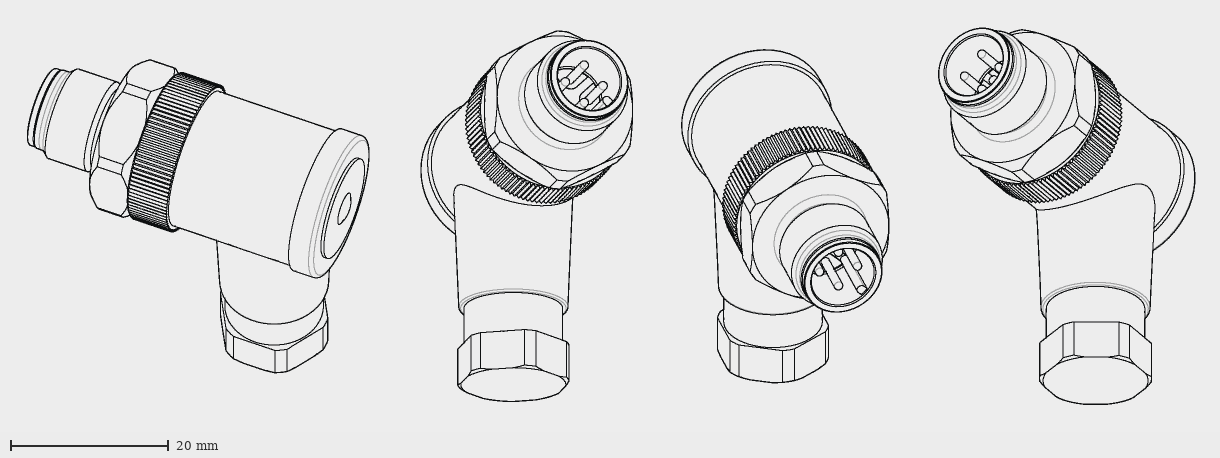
import cadquery as cq
import math


nut_start = 10.2
nut_end = 15.6
knurl_end = 21.05
cap_start = 37.75
cap_end = 41.0
disc_end = 41.4
part_end = 42.0

rim_radius = 10.3 / 2
rim_edge = 0.1
rim_end = 0.85
groove_radius = 9.4 / 2
groove_end = 1.05
land_radius = 10.5 / 2
land_end = 1.7
flare_radius = 5.55
flare_end = 2.35
thread_radius = 12.0 / 2
thread_start = 2.85
thread_end = 8.2
neck_radius = 10.7 / 2
neck_start = 8.8
neck_fillet = 0.8

bore_radius = 8.3 / 2
bore_mouth_radius = 4.3
bore_mouth_depth = 0.2
bore_floor = 8.0
floor_chamfer = 0.2
bore_floor_radius = bore_radius - floor_chamfer
pin_radius = 1.1 / 2
pin_circle_radius = 2.5
pin_count = 4
pin_tip = 1.6
pin_embedding = 1.0
pin_root = bore_floor + pin_embedding
key_radius = 1.1 / 2
key_offset = 2.5
key_tip = 0.5
sector_depth = 0.2
sector_corner_radius = 1.25

nut_flats = 18.0
nut_corner_radius = 20.0 / 2
nut_face_radius = nut_flats / 2
nut_chamfer = 1.05

knurl_teeth = 100
knurl_tip_radius = 19.6 / 2
knurl_root_radius = 19.0 / 2
knurl_chamfer = 0.3

housing_radius = 18.0 / 2
cap_radius = 19.0 / 2
cap_fillet = 0.5
disc_radius = 13.3 / 2
dome_radius = 2.1

outlet_x = 31.78
outlet_end = -20.4
outlet_top_z = -9.0
outlet_top_radius = 7.4
outlet_end_radius = 6.92
outlet_fillet = 0.25
sleeve_radius = 12.5 / 2
gland_top = -25.6
gland_bottom = -30.6
gland_flats = 13.0
gland_corner_radius = 14.2 / 2
gland_face_radius = 6.65
gland_chamfer = 0.25


def x_cylinder(radius, start, end):
    return cq.Workplane("YZ", origin=(start, 0, 0)).circle(radius).extrude(end - start)


def z_cylinder(radius, bottom, top):
    return cq.Workplane("XY", origin=(outlet_x, 0, bottom)).circle(radius).extrude(top - bottom)


def around_x_axis(outline):
    """Turn a closed (x, radius) outline around the plug axis."""
    return outline.close().revolve(360, (0, 0, 0), (1, 0, 0))


def hexagon_points(flats):
    """Corners of a hexagon with flats facing the first axis and corners on the second."""
    corner = flats / math.sqrt(3)
    angles = [math.radians(30 + 60 * i) for i in range(6)]
    return [(corner * math.cos(a), corner * math.sin(a)) for a in angles]


def plug():
    outline = (
        cq.Workplane("XY")
        .moveTo(0, 0)
        .lineTo(0, rim_radius - rim_edge)
        .lineTo(rim_edge, rim_radius)
        .lineTo(rim_end, rim_radius)
        .lineTo(rim_end, groove_radius)
        .lineTo(groove_end, groove_radius)
        .lineTo(groove_end, land_radius)
        .lineTo(land_end, land_radius)
        .tangentArcPoint((flare_end, flare_radius), relative=False)
        .lineTo(thread_start, thread_radius)
        .lineTo(thread_end, thread_radius)
        .lineTo(neck_start, neck_radius)
        .lineTo(nut_start - neck_fillet, neck_radius)
        .tangentArcPoint((nut_start, neck_radius + neck_fillet), relative=False)
        .lineTo(nut_start, 0)
    )
    return around_x_axis(outline)


def socket():
    outline = (
        cq.Workplane("XY")
        .moveTo(0, 0)
        .lineTo(0, bore_mouth_radius)
        .lineTo(bore_mouth_depth, bore_radius)
        .lineTo(bore_floor - floor_chamfer, bore_radius)
        .lineTo(bore_floor, bore_floor_radius)
        .lineTo(bore_floor, 0)
    )
    return around_x_axis(outline)


def floor_sector():
    """Quarter recess around the upper pin, with its rounded corner centred on that pin."""
    tangent = sector_corner_radius / math.sqrt(2)
    edge = bore_floor_radius
    base = pin_circle_radius - tangent
    wedge = (
        cq.Workplane("YZ", origin=(bore_floor, 0, 0))
        .moveTo(-edge, base + edge - tangent)
        .lineTo(-tangent, base)
        .threePointArc((0, pin_circle_radius - sector_corner_radius), (tangent, base))
        .lineTo(edge, base + edge - tangent)
        .close()
        .extrude(sector_depth)
    )
    return wedge.intersect(x_cylinder(bore_floor_radius, bore_floor, bore_floor + sector_depth))


def pin():
    outline = (
        cq.Workplane("XY")
        .moveTo(pin_tip, 0)
        .radiusArc((pin_tip + pin_radius, pin_radius), pin_radius)
        .lineTo(pin_root, pin_radius)
        .lineTo(pin_root, 0)
    )
    return around_x_axis(outline).translate((0, 0, pin_circle_radius))


def key():
    """Half-round coding rib along the socket wall, at the lower -Y side."""
    distance = key_offset * math.sqrt(2)
    reach = bore_radius + key_radius
    rib = (
        cq.Workplane("YZ", origin=(key_tip, 0, 0))
        .moveTo(-key_radius, -reach)
        .lineTo(-key_radius, -distance)
        .threePointArc((0, key_radius - distance), (key_radius, -distance))
        .lineTo(key_radius, -reach)
        .close()
        .extrude(pin_root - key_tip)
        .rotate((0, 0, 0), (1, 0, 0), -45)
    )
    return rib.intersect(x_cylinder(groove_radius, key_tip, pin_root))


def coupling_nut():
    length = nut_end - nut_start
    hexagon = (
        cq.Workplane("YZ", origin=(nut_start, 0, 0))
        .polyline(hexagon_points(nut_flats))
        .close()
        .extrude(length)
    )
    turned = around_x_axis(
        cq.Workplane("XY")
        .moveTo(nut_start, 0)
        .lineTo(nut_start, nut_face_radius)
        .lineTo(nut_start + nut_chamfer, nut_corner_radius)
        .lineTo(nut_end - nut_chamfer, nut_corner_radius)
        .lineTo(nut_end, nut_face_radius)
        .lineTo(nut_end, 0)
    )
    return hexagon.intersect(turned)


def knurled_ring():
    half_pitch = math.pi / knurl_teeth
    points = []
    for i in range(2 * knurl_teeth):
        radius = knurl_tip_radius if i % 2 else knurl_root_radius
        angle = i * half_pitch
        points.append((radius * math.cos(angle), radius * math.sin(angle)))
    teeth = (
        cq.Workplane("YZ", origin=(nut_end, 0, 0))
        .polyline(points)
        .close()
        .extrude(knurl_end - nut_end)
    )
    turned = around_x_axis(
        cq.Workplane("XY")
        .moveTo(nut_end, 0)
        .lineTo(nut_end, knurl_root_radius)
        .lineTo(nut_end + knurl_chamfer, knurl_tip_radius)
        .lineTo(knurl_end, knurl_tip_radius)
        .lineTo(knurl_end, 0)
    )
    return teeth.intersect(turned)


def end_cap():
    cap = x_cylinder(cap_radius, cap_start, cap_end).faces(">X").edges().fillet(cap_fillet)
    disc = x_cylinder(disc_radius, cap_end, disc_end)
    dome_height = part_end - disc_end
    sphere_radius = (dome_radius**2 + dome_height**2) / (2 * dome_height)
    dome = around_x_axis(
        cq.Workplane("XY")
        .moveTo(disc_end, 0)
        .lineTo(disc_end, dome_radius)
        .radiusArc((part_end, 0), sphere_radius)
    )
    return cap.union(disc).union(dome)


def outlet():
    """Tapered cable outlet that starts inside the housing."""
    slope = (outlet_top_radius - outlet_end_radius) / (outlet_top_z - outlet_end)
    axis_radius = outlet_end_radius - slope * outlet_end
    return (
        cq.Workplane("XY", origin=(outlet_x, 0, outlet_end))
        .circle(outlet_end_radius)
        .workplane(offset=-outlet_end)
        .circle(axis_radius)
        .loft()
        .faces("<Z")
        .edges()
        .fillet(outlet_fillet)
    )


def gland_nut():
    hexagon = (
        cq.Workplane("XY", origin=(outlet_x, 0, gland_bottom))
        .polyline([(v, u) for u, v in hexagon_points(gland_flats)])
        .close()
        .extrude(gland_top - gland_bottom)
    )
    turned = z_cylinder(gland_corner_radius, gland_bottom, gland_top)
    turned = turned.faces("<Z").chamfer(gland_chamfer, gland_corner_radius - gland_face_radius)
    return hexagon.intersect(turned)


result = plug().cut(socket())
for i in range(pin_count):
    turn = 360 / pin_count * i
    result = result.cut(floor_sector().rotate((0, 0, 0), (1, 0, 0), turn))
    result = result.union(pin().rotate((0, 0, 0), (1, 0, 0), turn))
result = result.union(key())
result = result.union(coupling_nut())
result = result.union(knurled_ring())
body = x_cylinder(housing_radius, knurl_end, cap_start).union(end_cap())
body = body.union(outlet())
body = body.union(z_cylinder(sleeve_radius, gland_top, outlet_end))
body = body.union(gland_nut())
result = result.union(body)